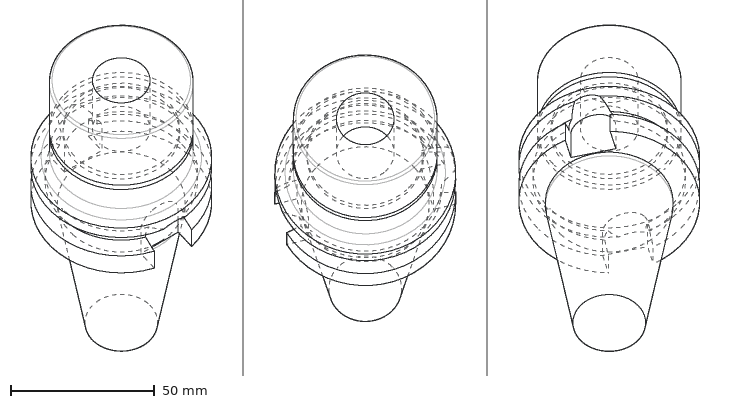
import cadquery as cq

total_height = 135.4
taper_height = 65.4
flange_bottom = 67.4
flange_top = 92.5
lower_rim_height = 9.5
upper_rim_height = 5.3
groove_slope_height = 2.6
neck_top = 105.9
nut_bottom = 108.3

flange_radius = 63.0 / 2
flange_groove_radius = 26.5
taper_large_radius = 22.2
taper_ratio = 7 / 24
taper_small_radius = taper_large_radius - taper_height * taper_ratio / 2
body_radius = 25.0
neck_radius = 20.3
bore_radius = 10.0

root_fillet = 2.8
nut_fillet = 1.0

bore_depth = total_height - nut_bottom
slot_width = 16.1
slot_floor = 22.5
slot_top = 88.5


def make_body():
    """Revolve the tapered shank, grooved flange, collar and nut about Z."""
    lower_rim_top = flange_bottom + lower_rim_height
    upper_rim_bottom = flange_top - upper_rim_height
    profile = (
        cq.Workplane("XZ")
        .lineTo(taper_small_radius, 0)
        .lineTo(taper_large_radius, taper_height)
        .lineTo(taper_large_radius, flange_bottom)
        .lineTo(flange_radius, flange_bottom)
        .lineTo(flange_radius, lower_rim_top)
        .lineTo(flange_groove_radius, lower_rim_top + groove_slope_height)
        .lineTo(flange_groove_radius, upper_rim_bottom - groove_slope_height)
        .lineTo(flange_radius, upper_rim_bottom)
        .lineTo(flange_radius, flange_top)
        .lineTo(body_radius + root_fillet, flange_top)
        .radiusArc((body_radius, flange_top + root_fillet), root_fillet)
        .lineTo(body_radius, neck_top)
        .lineTo(neck_radius, neck_top)
        .lineTo(neck_radius, nut_bottom)
        .lineTo(body_radius, nut_bottom)
        .lineTo(body_radius, total_height - nut_fillet)
        .radiusArc((body_radius - nut_fillet, total_height), -nut_fillet)
        .lineTo(0, total_height)
        .close()
    )
    return profile.revolve(360, (0, 0, 0), (0, 1, 0))


def make_bore():
    """Blind round bore in the top face."""
    return (
        cq.Workplane("XY")
        .workplane(offset=total_height - bore_depth)
        .circle(bore_radius)
        .extrude(bore_depth)
    )


def make_drive_slot():
    """Round-topped cutter for the slot on the +X side, open at the flange bottom."""
    half_width = slot_width / 2
    arc_center = slot_top - half_width
    return (
        cq.Workplane("YZ")
        .workplane(offset=slot_floor)
        .moveTo(-half_width, flange_bottom)
        .lineTo(half_width, flange_bottom)
        .lineTo(half_width, arc_center)
        .threePointArc((0, slot_top), (-half_width, arc_center))
        .close()
        .extrude(flange_radius - slot_floor)
    )


result = make_body().cut(make_bore())
for slot_angle in (0, 180):
    slot = make_drive_slot().rotate((0, 0, 0), (0, 0, 1), slot_angle)
    result = result.cut(slot)